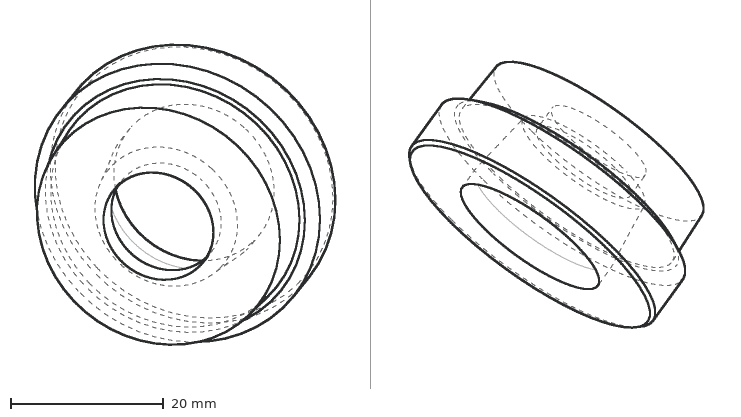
import cadquery as cq
import math

flange_diameter = 39.0
total_length = 16.0

plug_length = 7.5
plug_base_diameter = 34.0
plug_taper_angle = 3.0

front_chamfer_length = 1.0
front_chamfer_angle = 60.0
back_chamfer = 0.5

hole_diameter = 15.0
hole_length = 3.5
cone_small_diameter = 19.5
cone_large_diameter = 21.9
cone_length = 9.35

flange_radius = flange_diameter / 2
plug_base_radius = plug_base_diameter / 2
plug_tip_radius = plug_base_radius - plug_length * math.tan(math.radians(plug_taper_angle))
front_chamfer_depth = front_chamfer_length * math.tan(math.radians(front_chamfer_angle))
cone_end = hole_length + cone_length


def revolve_profile(points):
    """Revolve a closed (radius, Y) outline about the Y axis."""
    return cq.Workplane("XY").polyline(points).close().revolve(360, (0, 0, 0), (0, 1, 0))


body = revolve_profile([
    (0, 0),
    (plug_tip_radius, 0),
    (plug_base_radius, plug_length),
    (flange_radius - front_chamfer_depth, plug_length),
    (flange_radius, plug_length + front_chamfer_length),
    (flange_radius, total_length - back_chamfer),
    (flange_radius - back_chamfer, total_length),
    (0, total_length),
])

bore = revolve_profile([
    (0, 0),
    (hole_diameter / 2, 0),
    (hole_diameter / 2, hole_length),
    (cone_small_diameter / 2, hole_length),
    (cone_large_diameter / 2, cone_end),
    (cone_large_diameter / 2, total_length),
    (0, total_length),
])

result = body.cut(bore)